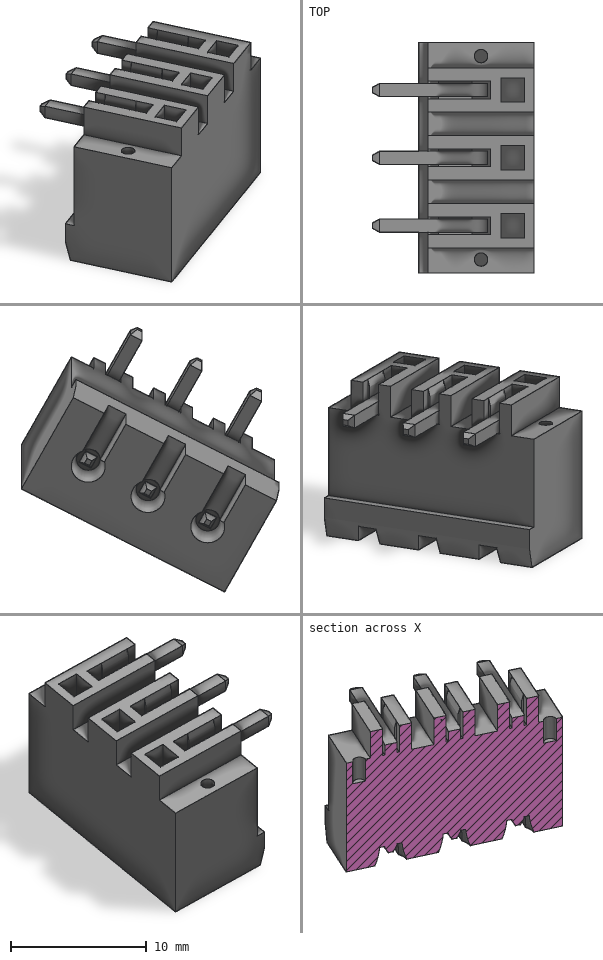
import cadquery as cq
import math


width = 17.0
total_length = 11.9
total_height = 12.2

pole_count = 3
pitch = 5.0
body_depth = 7.8
body_back = body_depth / 2
body_front = -body_depth / 2
shoulder_z = 9.83

lip_depth = 0.7
lip_top_z = 3.05
lip_bevel_z = 1.51
lip_bevel_depth = 0.4

tower_width = 3.26
tower_height = total_height - shoulder_z
test_pocket_length = 1.72
test_pocket_width = 1.78
test_pocket_wall = 0.7
test_pocket_depth = tower_height

slot_width = 1.3
slot_back = 0.68
rib_setback = 0.76
rib_length = 2.46
rib_lead_in = 0.6

pin_size = 0.99
pin_tip_size = 0.4
pin_taper_length = 0.53
pin_end_x = body_back - total_length
pin_bottom_z = 0.94

socket_mouth_diameter = 2.5
socket_middle_diameter = 1.99
socket_top_diameter = 1.73
socket_top_z = 1.56
socket_middle_z = socket_top_z / 2

notch_bottom_width = 1.78
notch_top_width = 1.45
notch_height = 1.22

end_hole_diameter = 0.99
end_hole_depth = 1.97
end_hole_y = pole_count * pitch / 2

pole_positions = [(i - (pole_count - 1) / 2) * pitch for i in range(pole_count)]


def box(x_start, x_end, y_size, z_start, z_end):
    """Box centred on Y = 0."""
    return (
        cq.Workplane("XY", origin=((x_start + x_end) / 2, 0, z_start))
        .rect(x_end - x_start, y_size)
        .extrude(z_end - z_start)
    )


def make_body():
    lip_front = body_front - lip_depth
    profile = [
        (body_back, 0),
        (body_back, shoulder_z),
        (body_front, shoulder_z),
        (body_front, lip_top_z),
        (lip_front, lip_top_z),
        (lip_front, lip_bevel_z),
        (lip_front + lip_bevel_depth, 0),
    ]
    return cq.Workplane("XZ").polyline(profile).close().extrude(width / 2, both=True)


def make_ribs():
    """Two slot ribs whose upper edges slope back to the slot walls."""
    outer = slot_width / 2
    inner = pin_size / 2
    profile = [
        (outer, shoulder_z),
        (inner, shoulder_z),
        (inner, total_height - rib_lead_in),
        (outer, total_height),
    ]
    rib = (
        cq.Workplane("YZ", origin=(body_front + rib_setback, 0, 0))
        .polyline(profile)
        .close()
        .extrude(rib_length)
    )
    return rib.union(rib.mirror("XZ"))


def make_tower():
    pocket_back = body_back - test_pocket_wall
    pocket_front = pocket_back - test_pocket_length
    pocket_floor = total_height - test_pocket_depth
    tower = box(body_front, body_back, tower_width, shoulder_z, total_height)
    slot = box(body_front, slot_back, slot_width, shoulder_z, total_height)
    pocket = box(pocket_front, pocket_back, test_pocket_width, pocket_floor, total_height)
    return tower.cut(slot).cut(pocket).union(make_ribs())


def make_pin():
    """L-shaped square pin with a rounded outer bend and a pointed tip at each end."""
    half = pin_size / 2
    arm_start = pin_end_x + pin_taper_length
    leg_start = pin_bottom_z + pin_taper_length
    pin_top = shoulder_z + pin_size
    diagonal = pin_size * math.sqrt(0.5)
    shank = (
        cq.Workplane("XZ")
        .moveTo(arm_start, shoulder_z)
        .lineTo(arm_start, pin_top)
        .lineTo(-half, pin_top)
        .threePointArc((-half + diagonal, shoulder_z + diagonal), (half, shoulder_z))
        .lineTo(half, leg_start)
        .lineTo(-half, leg_start)
        .lineTo(-half, shoulder_z)
        .close()
        .extrude(half, both=True)
    )
    arm_tip = (
        cq.Workplane("YZ", origin=(pin_end_x, 0, shoulder_z + half))
        .rect(pin_tip_size, pin_tip_size)
        .workplane(offset=pin_taper_length)
        .rect(pin_size, pin_size)
        .loft()
    )
    leg_tip = (
        cq.Workplane("XY", origin=(0, 0, pin_bottom_z))
        .rect(pin_tip_size, pin_tip_size)
        .workplane(offset=pin_taper_length)
        .rect(pin_size, pin_size)
        .loft()
    )
    return shank.union(arm_tip).union(leg_tip)


def make_socket():
    """Bell-mouthed cavity with a curved wall and the notch that opens it through the lip."""
    cavity = (
        cq.Workplane("XZ")
        .lineTo(socket_mouth_diameter / 2, 0)
        .threePointArc(
            (socket_middle_diameter / 2, socket_middle_z),
            (socket_top_diameter / 2, socket_top_z),
        )
        .lineTo(0, socket_top_z)
        .close()
        .revolve(360, (0, 0), (0, 1))
    )
    notch_profile = [
        (-notch_bottom_width / 2, 0),
        (notch_bottom_width / 2, 0),
        (notch_top_width / 2, notch_height),
        (-notch_top_width / 2, notch_height),
    ]
    notch = (
        cq.Workplane("YZ")
        .polyline(notch_profile)
        .close()
        .extrude(body_front - lip_depth)
    )
    return cavity.union(notch)


tower = make_tower()
socket = make_socket()
pin = make_pin()

result = make_body()
for y in pole_positions:
    place = (0, y, 0)
    result = result.union(tower.translate(place))
    result = result.cut(socket.translate(place))
    result = result.union(pin.translate(place))

end_holes = (
    cq.Workplane("XY", origin=(0, 0, shoulder_z))
    .pushPoints([(0, -end_hole_y), (0, end_hole_y)])
    .circle(end_hole_diameter / 2)
    .extrude(-end_hole_depth)
)
result = result.cut(end_holes)